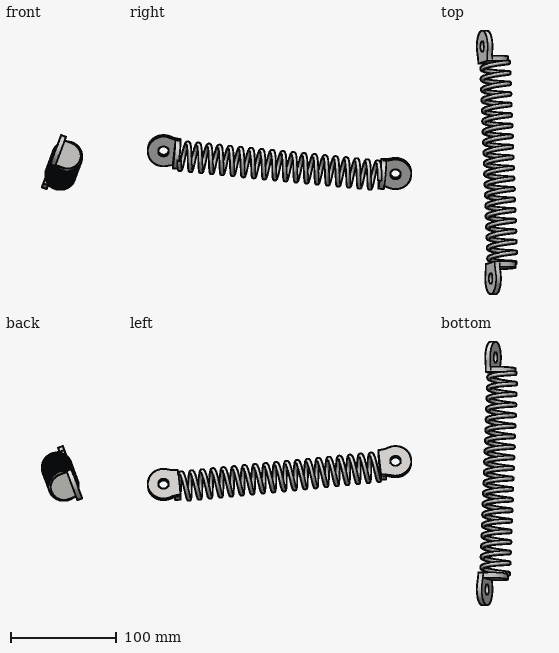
import cadquery as cq
import math

eye_spacing = 220.1
eye_radius = 15.0
hole_radius = 5.0
neck_fillet_radius = 30.0
plate_thickness = 5.0

seat_radius = 12.5
seat_thickness = 5.0
seat_distance = eye_radius

wire_radius = 2.0
coil_radius = 12.5
turns = 19
spring_length = eye_spacing - 2 * seat_distance
pitch = spring_length / turns

roll = 20.3
pitch_angle = 6.0


def end_fitting():
    """Eye plate and seat at the low-Z end; the spring axis is the local Z axis."""
    eye_z = -eye_spacing / 2
    end_z = eye_z + seat_distance

    fillet_center_y = math.sqrt((eye_radius + neck_fillet_radius) ** 2 - seat_distance ** 2)
    neck_half_width = fillet_center_y - neck_fillet_radius
    join_ratio = eye_radius / (eye_radius + neck_fillet_radius)
    join_y = fillet_center_y * join_ratio
    join_z = eye_z + seat_distance * join_ratio
    turn = math.asin(seat_distance / (eye_radius + neck_fillet_radius)) / 2
    middle_y = fillet_center_y - neck_fillet_radius * math.cos(turn)
    middle_z = end_z - neck_fillet_radius * math.sin(turn)

    plate = (
        cq.Workplane("YZ", origin=(-seat_radius, 0, 0))
        .moveTo(-neck_half_width, end_z)
        .threePointArc((-middle_y, middle_z), (-join_y, join_z))
        .threePointArc((0, eye_z - eye_radius), (join_y, join_z))
        .threePointArc((middle_y, middle_z), (neck_half_width, end_z))
        .close()
        .extrude(plate_thickness)
    )
    hole = (
        cq.Workplane("YZ", origin=(-seat_radius, 0, 0))
        .center(0, eye_z)
        .circle(hole_radius)
        .extrude(plate_thickness)
    )
    seat = (
        cq.Workplane("XY", origin=(0, 0, end_z - seat_thickness))
        .moveTo(-seat_radius, -seat_radius)
        .lineTo(0, -seat_radius)
        .threePointArc((seat_radius, 0), (0, seat_radius))
        .lineTo(-seat_radius, seat_radius)
        .close()
        .extrude(seat_thickness)
    )
    return plate.union(seat).cut(hole)


def spring():
    """Right-handed coil, its wire ends sunk halfway into the seats."""
    path = cq.Wire.makeHelix(pitch, spring_length, coil_radius)
    coil = (
        cq.Workplane("XZ", origin=(coil_radius, 0, 0))
        .circle(wire_radius)
        .sweep(cq.Workplane(path), isFrenet=True)
    )
    return coil.translate((0, 0, -spring_length / 2))


fitting = end_fitting()
body = spring().union(fitting).union(fitting.mirror("XY"))

roll_rad = math.radians(roll)
tilt_rad = math.radians(pitch_angle)
plate_normal = cq.Vector(math.cos(roll_rad), 0, -math.sin(roll_rad))
spring_axis = cq.Vector(
    math.sin(tilt_rad) * math.sin(roll_rad),
    -math.cos(tilt_rad),
    math.sin(tilt_rad) * math.cos(roll_rad),
)
attitude = cq.Plane(origin=(0, 0, 0), xDir=plate_normal, normal=spring_axis)
result = cq.Workplane(body.val().moved(cq.Location(attitude)))